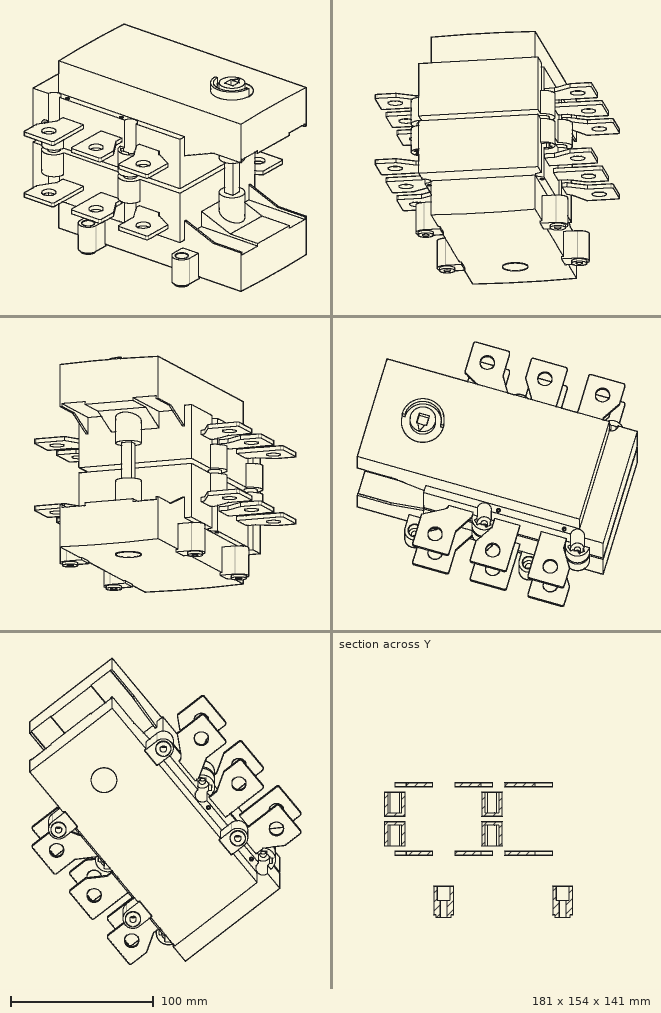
import cadquery as cq


MODULE_LENGTH = 131.0
MODULE_HALF_WIDTH = 42.4
MODULE_BOTTOM = 1.8
MODULE_TOP = 40.3

HOUSING_START = 18.8
HOUSING_END = 181.0
HOUSING_HALF_WIDTH = 37.0
HOUSING_EDGE_TOP = 65.3
HOUSING_CROWN_TOP = 66.0
OVERHANG_ROOT = 25.4
OVERHANG_HEIGHT = 35.2
OVERHANG_FLAT_START = 156.6
LIP_WIDTH = 1.5
CHANNEL_INNER_Y = 18.0
CHANNEL_DEPTH = 2.0

PIN_PITCH = 68.0
PIN_X = (HOUSING_START, HOUSING_START + PIN_PITCH)
PIN_Y = MODULE_HALF_WIDTH
PIN_DIAMETER = 9.31
PIN_BORE = 4.5
GROOVE_DIAMETER = 10.0
COLLAR_DIAMETER = 17.3
COLLAR_TOP = 18.9
COLLAR_FLOOR_THICKNESS = 2.5
CROSS_SLOT_WIDTH = 4.0
CROSS_SLOT_LENGTH = 13.2
CROSS_SLOT_ANGLE = 45.0

LEDGE_HOLE_X = (29.1, 77.1)
LEDGE_HOLE_Y = 40.1
LEDGE_HOLE_DIAMETER = 1.8
LEDGE_HOLE_DEPTH = 2.0
LEDGE_HOLE_CHAMFER = 0.5

TERMINAL_X = 32.0
TERMINAL_PITCH = 42.0
TERMINAL_WIDTH = 26.4
TERMINAL_TIP_Y = 77.0
TERMINAL_EMBED = 2.0
TERMINAL_ROOT_Y = MODULE_HALF_WIDTH - TERMINAL_EMBED
TERMINAL_THICKNESS = 3.0
TERMINAL_Z = 24.0
TERMINAL_HOLE_DIAMETER = 10.0
TERMINAL_HOLE_Y = 64.9
TERMINAL_CORNER_RADIUS = 1.5
NECK_INSET = 8.0
NECK_OUTER_Y = 62.0
NECK_INNER_Y = 49.2
CRANK_SHIFT = 8.0
CRANK_OUTER_Y = 59.0
CRANK_INNER_Y = 45.8
CRANK_NOTCH_OUTER_Y = 53.9
CRANK_NOTCH_INNER_Y = 46.0
CRANK_NOTCH_WIDTH = 14.1
CRANK_NOTCH_DEPTH = 16.5

SHAFT_X = 144.0
SQUARE_SIZE = 7.3
HUB_DIAMETER = 18.0
HUB_INNER_END = 13.4
HUB_LOWER_END = -66.5
KNOB_DIAMETER = 30.0
KNOB_TOP = 72.1
KNOB_SEAT = 65.5
GUARD_THICKNESS = 2.0
SOCKET_DEPTH = 6.0
POINTER_WIDTH = 5.0
POINTER_DEPTH = 0.5

FOOT_X = (52.9, 136.2)
FOOT_Y = 47.0
FOOT_RADIUS = 7.0
FOOT_INNER_Y = 35.6
FOOT_TOP = -47.0
FOOT_BOTTOM = -67.1
FOOT_BOSS_DIAMETER = 10.72
FOOT_BOSS_HEIGHT = 1.8
FOOT_BORE = 4.5
FOOT_COUNTERBORE = 8.6
FOOT_COUNTERBORE_CHAMFER = 0.35
FOOT_COUNTERBORE_DEPTH = 10.0

SIDES = (-1, 1)


def cylinder(x, y, bottom, top, diameter):
    return cq.Workplane("XY", origin=(x, y, bottom)).circle(diameter / 2).extrude(top - bottom)


def chamfered_hole(x, y, bottom, top, diameter, chamfer):
    """Tool for a blind hole whose upper rim is chamfered."""
    hole = cylinder(x, y, bottom, top, diameter)
    cone = cq.Solid.makeCone(diameter / 2, diameter / 2 + chamfer, chamfer, cq.Vector(x, y, top - chamfer))
    return hole.union(cq.Workplane(cone))


def box(x_range, y_range, z_range):
    corner = (x_range[0], y_range[0], z_range[0])
    length = x_range[1] - x_range[0]
    width = y_range[1] - y_range[0]
    height = z_range[1] - z_range[0]
    return cq.Workplane("XY", origin=corner).box(length, width, height, centered=False)


def pin_places():
    return [(x, side * PIN_Y) for x in PIN_X for side in SIDES]


def make_module_block():
    return box((0, MODULE_LENGTH), (-MODULE_HALF_WIDTH, MODULE_HALF_WIDTH), (MODULE_BOTTOM, MODULE_TOP))


def make_module():
    module = make_module_block()
    for x in LEDGE_HOLE_X:
        for side in SIDES:
            hole_bottom = MODULE_TOP - LEDGE_HOLE_DEPTH
            hole_y = side * LEDGE_HOLE_Y
            module = module.cut(chamfered_hole(x, hole_y, hole_bottom, MODULE_TOP,
                                               LEDGE_HOLE_DIAMETER, LEDGE_HOLE_CHAMFER))
    return module


def make_housing():
    """Housing with a crowned top and an overhang with a flat-floored channel inside each lower side lip."""
    side_profile = (
        cq.Workplane("XZ")
        .moveTo(HOUSING_START, OVERHANG_ROOT)
        .lineTo(MODULE_LENGTH, OVERHANG_ROOT)
        .lineTo(OVERHANG_FLAT_START, OVERHANG_HEIGHT)
        .lineTo(HOUSING_END, OVERHANG_HEIGHT)
        .lineTo(HOUSING_END, HOUSING_CROWN_TOP)
        .lineTo(HOUSING_START, HOUSING_CROWN_TOP)
        .close()
        .extrude(HOUSING_HALF_WIDTH, both=True)
    )
    crowned_section = (
        cq.Workplane("YZ")
        .moveTo(-HOUSING_HALF_WIDTH, 0)
        .lineTo(HOUSING_HALF_WIDTH, 0)
        .lineTo(HOUSING_HALF_WIDTH, HOUSING_EDGE_TOP)
        .threePointArc((0, HOUSING_CROWN_TOP), (-HOUSING_HALF_WIDTH, HOUSING_EDGE_TOP))
        .close()
        .extrude(HOUSING_END)
    )
    housing = side_profile.intersect(crowned_section)
    channel_x = (MODULE_LENGTH, HOUSING_END)
    channel_z = (OVERHANG_ROOT, OVERHANG_HEIGHT + CHANNEL_DEPTH)
    channel = box(channel_x, (CHANNEL_INNER_Y, HOUSING_HALF_WIDTH - LIP_WIDTH), channel_z)
    return housing.cut(channel).cut(channel.mirror("XZ"))


def finish_terminal(outline, hole_x):
    bar = outline.extrude(TERMINAL_THICKNESS)
    bar = bar.edges("|Z and >Y").fillet(TERMINAL_CORNER_RADIUS)
    hole_bottom = TERMINAL_Z - TERMINAL_THICKNESS / 2
    hole_top = hole_bottom + TERMINAL_THICKNESS
    return bar.cut(cylinder(hole_x, TERMINAL_HOLE_Y, hole_bottom, hole_top, TERMINAL_HOLE_DIAMETER))


def terminal_plane():
    return cq.Workplane("XY", origin=(0, 0, TERMINAL_Z - TERMINAL_THICKNESS / 2))


def make_straight_terminal(x, neck_side):
    """Bar narrowed on one side, neck_side being -1 for its -X edge or +1 for its +X edge."""
    plain_edge = x - neck_side * TERMINAL_WIDTH / 2
    necked_edge = x + neck_side * TERMINAL_WIDTH / 2
    neck = necked_edge - neck_side * NECK_INSET
    outline = (
        terminal_plane()
        .moveTo(plain_edge, TERMINAL_ROOT_Y)
        .lineTo(plain_edge, TERMINAL_TIP_Y)
        .lineTo(necked_edge, TERMINAL_TIP_Y)
        .lineTo(necked_edge, NECK_OUTER_Y)
        .lineTo(neck, NECK_INNER_Y)
        .lineTo(neck, TERMINAL_ROOT_Y)
        .close()
    )
    return finish_terminal(outline, x)


def make_cranked_terminal(x):
    left = x - TERMINAL_WIDTH / 2
    right = x + TERMINAL_WIDTH / 2
    notch_corner = (right - CRANK_NOTCH_WIDTH, CRANK_NOTCH_INNER_Y)
    notch_end = (right - CRANK_NOTCH_DEPTH, MODULE_HALF_WIDTH)
    outline = (
        terminal_plane()
        .moveTo(left - CRANK_SHIFT, TERMINAL_ROOT_Y)
        .lineTo(left - CRANK_SHIFT, CRANK_INNER_Y)
        .lineTo(left, CRANK_OUTER_Y)
        .lineTo(left, TERMINAL_TIP_Y)
        .lineTo(right, TERMINAL_TIP_Y)
        .lineTo(right, CRANK_NOTCH_OUTER_Y)
        .lineTo(*notch_corner)
        .tangentArcPoint(notch_end, relative=False)
        .lineTo(notch_end[0], TERMINAL_ROOT_Y)
        .close()
    )
    return finish_terminal(outline, x)


def make_terminals():
    bars = make_straight_terminal(TERMINAL_X, -1)
    bars = bars.add(make_straight_terminal(TERMINAL_X + TERMINAL_PITCH, 1))
    bars = bars.add(make_cranked_terminal(TERMINAL_X + 2 * TERMINAL_PITCH))
    return bars.add(bars.mirror("XZ"))


def add_collars(unit):
    """Adds the pin collars and sinks the access groove and, outside the module, the cross slots."""
    module_space = make_module_block()
    for x, y in pin_places():
        unit = unit.union(cylinder(x, y, MODULE_BOTTOM, COLLAR_TOP, COLLAR_DIAMETER))
        floor = MODULE_BOTTOM + COLLAR_FLOOR_THICKNESS
        slots = (
            cq.Workplane("XY", origin=(x, y, floor))
            .transformed(rotate=(0, 0, CROSS_SLOT_ANGLE))
            .rect(CROSS_SLOT_LENGTH, CROSS_SLOT_WIDTH)
            .extrude(COLLAR_TOP - floor)
        )
        slots = slots.union(slots.rotate((x, y, 0), (x, y, 1), 90)).cut(module_space)
        unit = unit.cut(cylinder(x, y, floor, MODULE_TOP, GROOVE_DIAMETER))
        unit = unit.cut(slots)
    return unit


def make_unit():
    unit = add_collars(make_module().union(make_housing()))
    for bar in make_terminals().vals():
        unit = unit.union(cq.Workplane(bar))
    hub = cylinder(SHAFT_X, 0, HUB_INNER_END, HOUSING_EDGE_TOP, HUB_DIAMETER)
    return unit.union(hub)


def add_pins(body):
    for x, y in pin_places():
        body = body.union(cylinder(x, y, -MODULE_BOTTOM, MODULE_BOTTOM, PIN_DIAMETER))
        body = body.cut(cylinder(x, y, -MODULE_TOP, MODULE_TOP, PIN_BORE))
    return body


def add_shaft(body):
    square_shaft = (
        cq.Workplane("XY", origin=(SHAFT_X, 0, 0))
        .rect(SQUARE_SIZE, SQUARE_SIZE)
        .extrude(HUB_INNER_END, both=True)
    )
    lower_end = cylinder(SHAFT_X, 0, HUB_LOWER_END, -HOUSING_EDGE_TOP, HUB_DIAMETER)
    return body.union(square_shaft).union(lower_end)


def add_knob(body):
    """Socketed hub with a pointer, in a round seat with a half-ring guard on the -Y side."""
    radius = KNOB_DIAMETER / 2
    body = body.cut(cylinder(SHAFT_X, 0, KNOB_SEAT, KNOB_TOP, KNOB_DIAMETER))
    guard = cylinder(SHAFT_X, 0, KNOB_SEAT, KNOB_TOP, KNOB_DIAMETER)
    guard = guard.cut(cylinder(SHAFT_X, 0, KNOB_SEAT, KNOB_TOP, KNOB_DIAMETER - 2 * GUARD_THICKNESS))
    back_half = box((SHAFT_X - radius, SHAFT_X + radius), (0, radius), (KNOB_SEAT, KNOB_TOP))
    hub = cylinder(SHAFT_X, 0, KNOB_SEAT, KNOB_TOP, HUB_DIAMETER)
    socket = (
        cq.Workplane("XY", origin=(SHAFT_X, 0, KNOB_TOP))
        .rect(SQUARE_SIZE, SQUARE_SIZE)
        .extrude(-SOCKET_DEPTH)
    )
    pointer = (
        cq.Workplane("XY", origin=(SHAFT_X, 0, KNOB_TOP))
        .moveTo(-POINTER_WIDTH / 2, SQUARE_SIZE / 2)
        .lineTo(POINTER_WIDTH / 2, SQUARE_SIZE / 2)
        .lineTo(0, HUB_DIAMETER / 2)
        .close()
        .extrude(-POINTER_DEPTH)
    )
    return body.union(guard.cut(back_half)).union(hub).cut(socket).cut(pointer)


def make_foot(x):
    """Foot on the +Y side: a round-ended lug with a spigot below and a counterbored hole."""
    lug = cylinder(x, FOOT_Y, FOOT_BOTTOM, FOOT_TOP, 2 * FOOT_RADIUS)
    lug = lug.union(box((x - FOOT_RADIUS, x + FOOT_RADIUS), (FOOT_INNER_Y, FOOT_Y), (FOOT_BOTTOM, FOOT_TOP)))
    boss_bottom = FOOT_BOTTOM - FOOT_BOSS_HEIGHT
    lug = lug.union(cylinder(x, FOOT_Y, boss_bottom, FOOT_BOTTOM, FOOT_BOSS_DIAMETER))
    lug = lug.cut(cylinder(x, FOOT_Y, boss_bottom, FOOT_TOP, FOOT_BORE))
    counterbore_floor = FOOT_TOP - FOOT_COUNTERBORE_DEPTH
    return lug.cut(chamfered_hole(x, FOOT_Y, counterbore_floor, FOOT_TOP,
                                  FOOT_COUNTERBORE, FOOT_COUNTERBORE_CHAMFER))


def add_feet(body):
    for x in FOOT_X:
        foot = make_foot(x)
        body = body.union(foot).union(foot.mirror("XZ"))
    return body


upper_unit = make_unit()
body = upper_unit.union(upper_unit.mirror("XY"))
body = add_pins(body)
body = add_shaft(body)
body = add_knob(body)
result = add_feet(body)